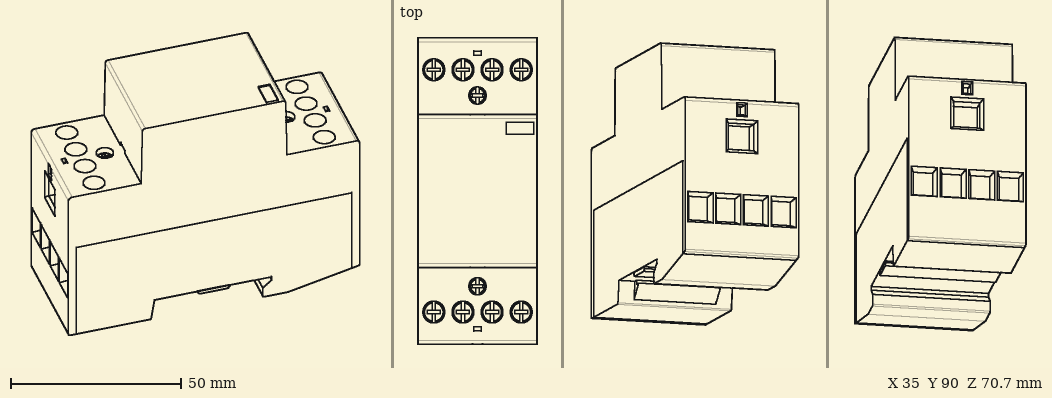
import cadquery as cq


LENGTH = 90.0
WIDTH = 35.0
HEIGHT = 70.7
SHOULDER_Z = 50.8
TOWER_FOOT_LENGTH = 45.0
TOWER_TOP_LENGTH = 44.3
TOWER_ROUNDING = 0.9
SHOULDER_ROUNDING = 1.2
FOOT_ROUNDING = 0.6
BACK_BOTTOM_Z = 4.7
SLOPE_END_Y = 22.8

RAIL_Z = 6.8
HOOK_ROOT_Y = 17.7
HOOK_ROOT_Z = 5.7
HOOK_NOSE_Y = 15.0
HOOK_NOSE_Z = 3.4
HOOK_ROUNDING = 0.45
RAIL_WALL_TOP_Y = -18.4
RAIL_WALL_BOTTOM_Y = -19.4

BASE_LENGTH = 85.1
BASE_TOP_Z = 31.95
RIB_LENGTH = 10.1
RIB_DROP = 1.3
RIB_CHAMFER = 0.7
RIB_SIDE_INSET = 0.3

CLIP_WIDTH = 25.2
CLIP_NECK_Y = -16.6
CLIP_TIP_Y = -14.8
CLIP_TIP_Z = 5.7
CLIP_BOTTOM_Z = 1.5

TERMINAL_PITCH = 8.55
TERMINAL_XS = [(i - 1.5) * TERMINAL_PITCH for i in range(4)]
TERMINAL_SCREW_Y = 35.55
TERMINAL_SCREW_DIAMETER = 6.4
TERMINAL_SCREW_DEPTH = 5.4
TERMINAL_CROSS_LENGTH = 3.8
COIL_SCREW_Y = 28.0
COIL_SCREW_DIAMETER = 5.0
COIL_SCREW_DEPTH = 1.6
COIL_CROSS_LENGTH = 3.15
SCREW_RIM = 0.45
SLOT_WIDTH = 1.0
SLOT_DEPTH = 0.5
CROSS_DEPTH = 0.9
ENTRY_WIDTH = 7.7
ENTRY_HEIGHT = 9.0
ENTRY_Z = 17.9
ENTRY_TAPER = 1.0

WINDOW_SIZE = 9.8
WINDOW_Z = 39.8
WINDOW_CHAMFER = 1.0
WINDOW_DEPTH = 5.3
GROOVE_WIDTH = 1.1
GROOVE_LENGTH = 3.3
GROOVE_DEPTH = 1.8

LATCH_WIDTH = 2.2
LATCH_FLOOR_Z = 46.3
LATCH_BACK_FLOOR_Z = 46.8
LATCH_CEILING_Z = 49.2
LATCH_FRONT_Y = 41.0
LATCH_BACK_Y = 39.9
LATCH_CHAMFER = 0.5

NOTCH_WIDTH = 4.1
NOTCH_HEIGHT = 1.0
NOTCH_DEPTH = 1.1
LABEL_LENGTH_X = 8.0
LABEL_LENGTH_Y = 3.6
LABEL_X = 12.5
LABEL_Y = 18.4
LABEL_DEPTH = 0.4


def box(x_size, y_range, z_range):
    """Box centred on X = 0 that spans the given Y and Z ranges."""
    y0, y1 = y_range
    z0, z1 = z_range
    return cq.Workplane("XY").box(x_size, y1 - y0, z1 - z0).translate((0, (y0 + y1) / 2, (z0 + z1) / 2))


def prism(points, width):
    """Extrude a (Y, Z) outline by the given width, centred on X = 0."""
    return cq.Workplane("YZ").polyline(points).close().extrude(width / 2, both=True)


def round_edges(body, points, radius):
    """Round the edges that run along X through the given (Y, Z) points."""
    reach = 0.01
    for y, z in points:
        corner = cq.selectors.BoxSelector((-reach, y - reach, z - reach), (reach, y + reach, z + reach))
        body = body.edges(corner).fillet(radius)
    return body


def at_both_ends(cutter):
    """A cutter at the -Y end together with its mirror image at the +Y end."""
    return cutter.union(cutter.mirror("XZ"))


def tapered_recess(width, height, x, z, inset, depth):
    """Recess in the -Y end wall that shrinks by the inset on every side over its depth."""
    mouth = cq.Workplane("XZ", origin=(x, -LENGTH / 2, z)).rect(width, height)
    floor = mouth.workplane(offset=-depth).rect(width - 2 * inset, height - 2 * inset)
    return floor.loft(combine=True)


def envelope():
    """Complete side outline of housing and base together, extruded over the width."""
    end = LENGTH / 2
    foot = TOWER_FOOT_LENGTH / 2
    top = TOWER_TOP_LENGTH / 2
    body = prism(
        [
            (-end, 0),
            (-end, SHOULDER_Z),
            (-foot, SHOULDER_Z),
            (-top, HEIGHT),
            (top, HEIGHT),
            (foot, SHOULDER_Z),
            (end, SHOULDER_Z),
            (end, BACK_BOTTOM_Z),
            (SLOPE_END_Y, 0),
            (HOOK_NOSE_Y, 0),
            (HOOK_NOSE_Y, HOOK_NOSE_Z),
            (HOOK_ROOT_Y, HOOK_ROOT_Z),
            (HOOK_ROOT_Y, RAIL_Z),
            (RAIL_WALL_TOP_Y, RAIL_Z),
            (RAIL_WALL_BOTTOM_Y, 0),
        ],
        WIDTH,
    )
    body = round_edges(body, [(-top, HEIGHT), (top, HEIGHT)], TOWER_ROUNDING)
    body = round_edges(body, [(-end, SHOULDER_Z), (end, SHOULDER_Z)], SHOULDER_ROUNDING)
    body = round_edges(body, [(-end, 0), (end, BACK_BOTTOM_Z)], FOOT_ROUNDING)
    return round_edges(body, [(HOOK_NOSE_Y, 0), (RAIL_WALL_BOTTOM_Y, 0)], HOOK_ROUNDING)


def base_space():
    """Room that the base takes up inside the housing."""
    return box(WIDTH, (-BASE_LENGTH / 2, BASE_LENGTH / 2), (0, BASE_TOP_Z))


def screw_recess(diameter, depth, cross_length):
    """Hole above a sunken screw head with a chamfered rim and a cross slot; its mouth is at Z = 0."""
    hole = cq.Workplane("XY").circle(diameter / 2).extrude(-depth - CROSS_DEPTH)
    head = cq.Workplane("XY", origin=(0, 0, -depth)).circle(diameter / 2).extrude(-CROSS_DEPTH)
    head = head.faces(">Z").chamfer(SCREW_RIM)
    long_slot = box(SLOT_WIDTH, (-diameter / 2, diameter / 2), (-depth - SLOT_DEPTH, -depth))
    barrel = cq.Workplane("XY").circle(diameter / 2).extrude(-depth - SLOT_DEPTH)
    cross_slot = box(cross_length, (-SLOT_WIDTH / 2, SLOT_WIDTH / 2), (-depth - CROSS_DEPTH, -depth))
    return hole.cut(head).union(long_slot.intersect(barrel)).union(cross_slot)


def screw_recesses():
    """Terminal and coil screws of one shoulder."""
    terminal = screw_recess(TERMINAL_SCREW_DIAMETER, TERMINAL_SCREW_DEPTH, TERMINAL_CROSS_LENGTH)
    coil = screw_recess(COIL_SCREW_DIAMETER, COIL_SCREW_DEPTH, COIL_CROSS_LENGTH)
    cutter = coil.translate((0, -COIL_SCREW_Y, SHOULDER_Z))
    for x in TERMINAL_XS:
        cutter = cutter.union(terminal.translate((x, -TERMINAL_SCREW_Y, SHOULDER_Z)))
    return cutter


def wire_entries():
    """Tapered openings through one end wall, with the base as their floor."""
    wall = (LENGTH - BASE_LENGTH) / 2
    cutter = cq.Workplane("XY")
    for x in TERMINAL_XS:
        cutter = cutter.add(tapered_recess(ENTRY_WIDTH, ENTRY_HEIGHT, x, ENTRY_Z, ENTRY_TAPER, wall))
    return cutter.combine()


def coil_window():
    """Square window with a chamfered mouth in one end wall and a groove in its floor."""
    mouth = tapered_recess(WINDOW_SIZE, WINDOW_SIZE, 0, WINDOW_Z, WINDOW_CHAMFER, WINDOW_CHAMFER)
    inner = WINDOW_SIZE - 2 * WINDOW_CHAMFER
    floor_z = WINDOW_Z - inner / 2
    back_y = -LENGTH / 2 + WINDOW_DEPTH
    room = box(inner, (-LENGTH / 2, back_y), (floor_z, floor_z + inner))
    groove = box(GROOVE_WIDTH, (back_y - GROOVE_LENGTH, back_y), (floor_z - GROOVE_DEPTH, floor_z))
    return mouth.union(room).union(groove)


def latch_passage():
    """Passage that enters one end wall, rises over a sloping floor and opens in the shoulder."""
    passage = prism(
        [
            (-LENGTH / 2, LATCH_FLOOR_Z),
            (-LATCH_FRONT_Y, LATCH_FLOOR_Z),
            (-LATCH_BACK_Y, LATCH_BACK_FLOOR_Z),
            (-LATCH_BACK_Y, SHOULDER_Z),
            (-LATCH_FRONT_Y, SHOULDER_Z),
            (-LATCH_FRONT_Y, LATCH_CEILING_Z),
            (-LENGTH / 2, LATCH_CEILING_Z),
        ],
        LATCH_WIDTH,
    )
    mouth = tapered_recess(
        LATCH_WIDTH + 2 * LATCH_CHAMFER,
        LATCH_CEILING_Z - LATCH_FLOOR_Z + 2 * LATCH_CHAMFER,
        0,
        (LATCH_CEILING_Z + LATCH_FLOOR_Z) / 2,
        LATCH_CHAMFER,
        LATCH_CHAMFER,
    )
    return passage.union(mouth)


def tower_notch():
    """Shallow notch at the foot of the tower, level with the shoulder."""
    foot = TOWER_FOOT_LENGTH / 2
    return box(NOTCH_WIDTH, (-foot, -foot + NOTCH_DEPTH), (SHOULDER_Z, SHOULDER_Z + NOTCH_HEIGHT))


def label_recess():
    """Shallow rectangular recess near one corner of the tower top."""
    y_range = (LABEL_Y - LABEL_LENGTH_Y / 2, LABEL_Y + LABEL_LENGTH_Y / 2)
    return box(LABEL_LENGTH_X, y_range, (HEIGHT - LABEL_DEPTH, HEIGHT)).translate((LABEL_X, 0, 0))


def make_housing():
    """Hood that covers the top and both ends of the base."""
    body = envelope().cut(base_space())
    for feature in (screw_recesses, wire_entries, coil_window, latch_passage, tower_notch):
        body = body.cut(at_both_ends(feature()))
    return body.cut(label_recess())


def make_base():
    """Lower block with the rail channel and a support rib on the channel ceiling."""
    half = RIB_LENGTH / 2
    rib = prism(
        [
            (-half, RAIL_Z),
            (half, RAIL_Z),
            (half, RAIL_Z - RIB_DROP + RIB_CHAMFER),
            (half - RIB_CHAMFER, RAIL_Z - RIB_DROP),
            (RIB_CHAMFER - half, RAIL_Z - RIB_DROP),
            (-half, RAIL_Z - RIB_DROP + RIB_CHAMFER),
        ],
        WIDTH - 2 * RIB_SIDE_INSET,
    )
    return envelope().intersect(base_space()).union(rib)


def make_clip():
    """Wedge-shaped rail clip that bears on the sloping wall and ceiling of the rail channel."""
    wall_lean = (RAIL_WALL_BOTTOM_Y - RAIL_WALL_TOP_Y) / RAIL_Z
    bottom_y = RAIL_WALL_TOP_Y + wall_lean * (RAIL_Z - CLIP_BOTTOM_Z)
    return prism(
        [
            (RAIL_WALL_TOP_Y, RAIL_Z),
            (CLIP_NECK_Y, RAIL_Z),
            (CLIP_NECK_Y, CLIP_TIP_Z),
            (CLIP_TIP_Y, CLIP_TIP_Z),
            (bottom_y, CLIP_BOTTOM_Z),
        ],
        CLIP_WIDTH,
    )


housing = make_housing()
base = make_base()
clip = make_clip()

result = cq.Compound.makeCompound([housing.solids().val(), base.solids().val(), clip.solids().val()])